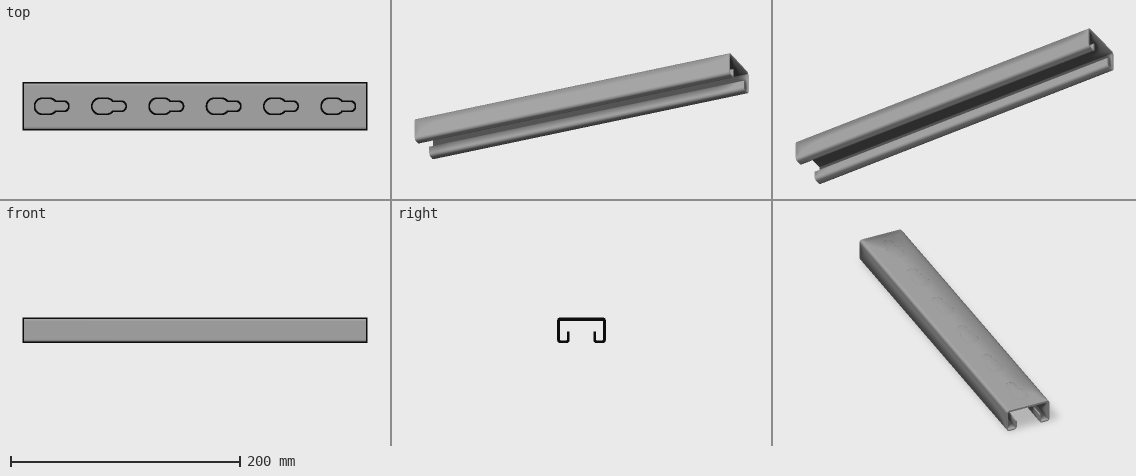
import cadquery as cq

length = 300.0
width = 41.0
height = 21.3
thickness = 1.2
web_thickness = 1.8
bend_radius = 2.7
inner_bend_radius = 0.5
flange_width = 9.5
lip_height = 8.7

keyhole_count = 6
keyhole_pitch = length / keyhole_count
keyhole_length = 30.0
head_length = 19.8
head_width = 14.0
neck_width = 9.0
recess_depth = 0.15

half_width = width / 2
lip_face = half_width - flange_width


def channel():
    """Bent strip section, open downwards, extruded along X."""
    outer = (
        cq.Workplane("YZ")
        .rect(width, height)
        .extrude(length / 2, both=True)
        .edges("|X")
        .fillet(bend_radius)
    )
    cavity = (
        cq.Workplane("YZ")
        .center(0, (thickness - web_thickness) / 2)
        .rect(width - 2 * thickness, height - thickness - web_thickness)
        .extrude(length / 2, both=True)
        .edges("|X")
        .fillet(inner_bend_radius)
    )
    body = outer.cut(cavity)
    mouth_half = lip_face + bend_radius
    mouth = cq.Workplane("XY").box(length, 2 * mouth_half, height).translate((0, 0, -height / 2))
    body = body.cut(mouth)
    for side in (-1, 1):
        body = body.union(lip_corner(side))
    return body


def lip_corner(side):
    """Inward end of one flange, bent up into its lip."""
    bend_end = lip_face + bend_radius
    bottom = -height / 2
    bend_top = bottom + thickness + inner_bend_radius
    inner_face = lip_face + thickness
    return (
        cq.Workplane("YZ", origin=(-length / 2, 0, 0))
        .moveTo(side * bend_end, bottom)
        .radiusArc((side * lip_face, bottom + bend_radius), side * bend_radius)
        .lineTo(side * lip_face, bottom + lip_height)
        .lineTo(side * inner_face, bottom + lip_height)
        .lineTo(side * inner_face, bend_top)
        .radiusArc(
            (side * (inner_face + inner_bend_radius), bottom + thickness),
            -side * inner_bend_radius,
        )
        .lineTo(side * bend_end, bottom + thickness)
        .close()
        .extrude(length)
    )


def keyholes():
    """Keyhole prisms, wide head towards -X and narrow neck towards +X."""
    first_center = -(keyhole_count - 1) * keyhole_pitch / 2
    head_offset = (head_length - keyhole_length) / 2
    neck_length = keyhole_length / 2 - head_offset
    neck_offset = (keyhole_length - neck_length) / 2
    centers = [(first_center + i * keyhole_pitch, 0) for i in range(keyhole_count)]
    floor_height = height / 2 - recess_depth
    heads = (
        cq.Workplane("XY", origin=(head_offset, 0, floor_height))
        .pushPoints(centers)
        .slot2D(head_length, head_width)
        .extrude(recess_depth)
    )
    necks = (
        cq.Workplane("XY", origin=(neck_offset, 0, floor_height))
        .pushPoints(centers)
        .slot2D(neck_length, neck_width)
        .extrude(recess_depth)
    )
    return heads.union(necks)


result = channel().cut(keyholes())